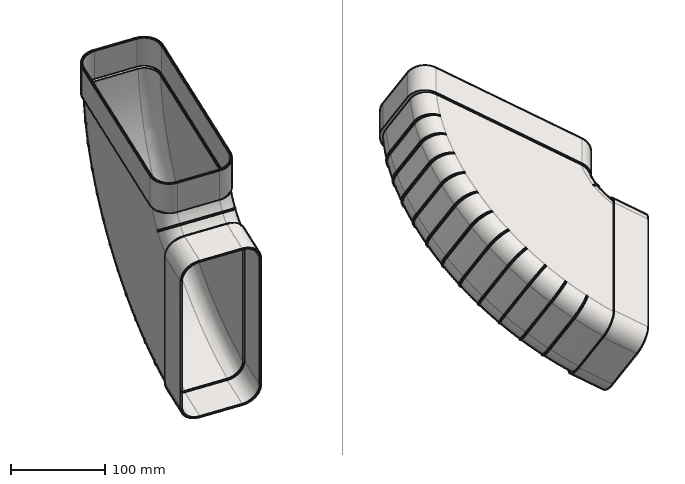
import cadquery as cq

overall_x = 287.0
overall_z = 286.0

socket_width = 226.0
socket_depth = 93.0
socket_corner = 22.0
socket_length = 42.2
socket_wall = 2.0

body_inset = 2.0
body_wall = 2.0
body_depth = socket_depth - 2 * body_inset
body_corner = socket_corner - body_inset
outer_radius = 261.5
inner_radius = 43.0
arc_center_offset = 19.5

rib_height = 1.5
rib_thickness = 1.7
outer_rib_count = 11
outer_rib_pitch = 6.5
bend_angle = 90.0
mid_angle = bend_angle / 2

side_face_x = overall_x - socket_length
top_face_z = overall_z - socket_length
center_x = side_face_x + arc_center_offset
center_z = top_face_z + arc_center_offset


def top_socket_block(inset, length):
    """Upright rounded bar ending at the top opening."""
    return (
        cq.Workplane("XY")
        .box(socket_width - 2 * inset, socket_depth - 2 * inset, length)
        .edges("|Z")
        .fillet(socket_corner - inset)
        .translate((socket_width / 2, 0, overall_z - length / 2))
    )


def side_socket_block(inset, length):
    """Horizontal rounded bar ending at the side opening."""
    return (
        cq.Workplane("XY")
        .box(length, socket_depth - 2 * inset, socket_width - 2 * inset)
        .edges("|X")
        .fillet(socket_corner - inset)
        .translate((overall_x - length / 2, 0, socket_width / 2))
    )


def body_section(inset, radial_shift):
    """Cross-section of the bend on the -X side of the bend axis."""
    middle_radius = (outer_radius + inner_radius) / 2 + radial_shift
    radial_width = outer_radius - inner_radius - 2 * inset
    return (
        cq.Sketch()
        .rect(radial_width, body_depth - 2 * inset)
        .vertices()
        .fillet(body_corner - inset)
        .moved(cq.Location(cq.Vector(center_x - middle_radius, 0, 0)))
    )


def bend(inset):
    """Quarter turn of the section, ending one wall thickness inside each socket."""
    turn = (
        cq.Workplane("XY", origin=(0, 0, center_z))
        .placeSketch(body_section(inset, 0))
        .revolve(bend_angle, (center_x, 0, 0), (center_x, -1, 0))
    )
    trim_x = side_face_x + body_wall
    trim_z = top_face_z + body_wall
    trim = cq.Workplane("XY").box(trim_x, socket_depth, trim_z, centered=(False, True, False))
    return turn.intersect(trim)


def rib(angle, radial_shift):
    """Thin slice of the section, shifted radially so it stands proud of one curved wall."""
    return (
        cq.Workplane("XY", origin=(0, 0, center_z - rib_thickness / 2))
        .placeSketch(body_section(0, radial_shift))
        .extrude(rib_thickness)
        .rotate((center_x, 0, center_z), (center_x, -1, center_z), angle)
    )


outer_form = bend(0)
for index in range(outer_rib_count):
    rib_angle = mid_angle + (index - (outer_rib_count - 1) / 2) * outer_rib_pitch
    outer_form = outer_form.union(rib(rib_angle, rib_height))
outer_form = outer_form.union(rib(mid_angle, -rib_height))
outer_form = outer_form.union(top_socket_block(0, socket_length))
outer_form = outer_form.union(side_socket_block(0, socket_length))

bore_length = socket_length - body_wall
result = (
    outer_form.cut(bend(body_wall))
    .cut(top_socket_block(socket_wall, bore_length))
    .cut(side_socket_block(socket_wall, bore_length))
)